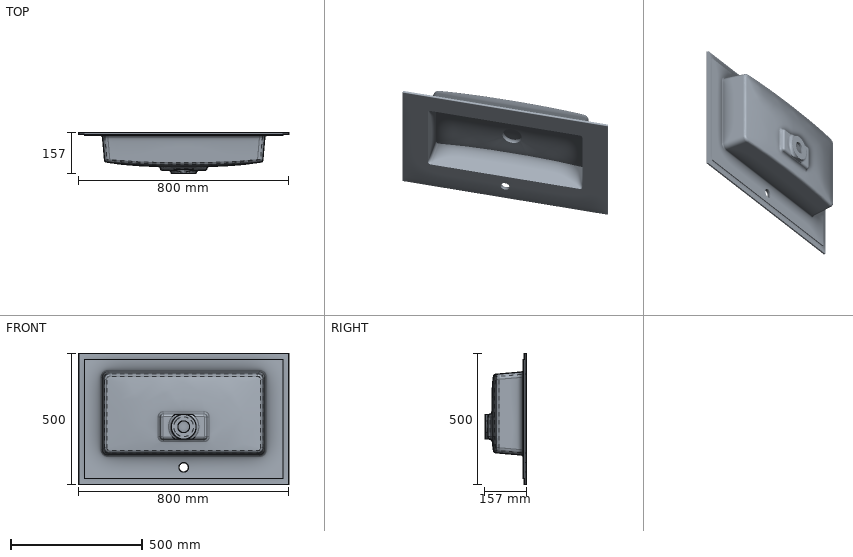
import cadquery as cq
import math


plate_width = 800.0
plate_height = 500.0
plate_thickness = 8.0
plate_edge_radius = 2.0
step_width = 755.0
step_height = 451.0
step_thickness = 5.0
rim_depth = plate_thickness + step_thickness

bowl_width = 619.0
bowl_height = 318.0
bowl_z = 21.0
bowl_draft = 5.0
bowl_corner_radius = 21.0
bowl_floor_radius = 10.0
bowl_root_radius = 5.0
wall = 10.0

floor_side_depth = 110.0
long_side_sag = 11.0
crown_sag = 10.0
dome_depth = floor_side_depth + long_side_sag + crown_sag
dome_grid = 12
dome_overhang = 1.1

drain_z = -30.0
housing_width = 178.0
housing_height = 98.0
housing_depth = 145.0
housing_corner_radius = 11.0
housing_face_radius = 10.0
housing_root_radius = 9.0

total_depth = 157.0
flange_diameter = 94.0
flange_flare_radius = 10.0
drain_hole_diameter = 45.0

tap_hole_diameter = 35.0
tap_hole_z = -184.0

cover_diameter = flange_diameter - 2 * wall
cover_thickness = 10.0
cover_back_depth = total_depth - wall

pick_margin = 1.0


def layer(depth, z=0.0):
    """Sketch plane at a depth, looking along -Y, centred at height z."""
    return cq.Workplane("XZ", origin=(0, -depth, z))


def joint_edges(width, height, z, start_depth, end_depth):
    """Selector for the edges around the foot of a raised block of the given outline."""
    half_width = width / 2 + pick_margin
    half_height = height / 2 + pick_margin
    return cq.selectors.BoxSelector(
        (-half_width, -end_depth - pick_margin, z - half_height),
        (half_width, -start_depth + pick_margin, z + half_height),
        boundingbox=True,
    )


def domed_floor(inset):
    """Bowl floor surface, moved inwards by inset."""
    half_width = bowl_width / 2
    half_height = bowl_height / 2
    steps = [dome_overhang * i / dome_grid for i in range(-dome_grid, dome_grid + 1)]

    def point(u, w):
        sag = long_side_sag * (1 - u**2) + crown_sag * (1 - u**4) * (1 - w**4)
        depth = floor_side_depth - inset + sag
        return cq.Vector(u * half_width, -depth, bowl_z + w * half_height)

    return cq.Face.makeSplineApprox([[point(u, w) for w in steps] for u in steps], tol=0.001)


def bowl_block(start_depth, inset):
    """Drafted block with a domed end; an inset of one wall thickness gives the hollow."""
    widening = 2 * (rim_depth - start_depth) * math.tan(math.radians(bowl_draft)) - 2 * inset
    block = (
        layer(start_depth, bowl_z)
        .rect(bowl_width + widening, bowl_height + widening)
        .extrude(total_depth - start_depth, taper=bowl_draft)
        .edges("not(#Y)")
        .fillet(bowl_corner_radius - inset)
    )
    beyond_floor = cq.Solid.extrudeLinear(domed_floor(inset), cq.Vector(0, -total_depth, 0))
    return block.cut(cq.Workplane(beyond_floor))


def rim():
    """Rim plate with a softened front edge and corners, and the step on its back."""
    plate = (
        layer(0)
        .rect(plate_width, plate_height)
        .extrude(plate_thickness)
        .edges("|Y")
        .fillet(plate_edge_radius)
        .faces(">Y")
        .edges()
        .fillet(plate_edge_radius)
    )
    step = layer(plate_thickness).rect(step_width, step_height).extrude(step_thickness)
    return plate.union(step)


def rim_with_bowl():
    """Rim and solid bowl, with the joint between them filleted."""
    bowl = bowl_block(rim_depth, 0).faces("<Y").edges().fillet(bowl_floor_radius)
    joint = joint_edges(bowl_width, bowl_height, bowl_z, rim_depth, rim_depth)
    return rim().union(bowl).edges(joint).fillet(bowl_root_radius)


def add_housing(body):
    """Drain housing with a rounded end, blended into the bowl floor."""
    housing = (
        layer(rim_depth, drain_z)
        .rect(housing_width, housing_height)
        .extrude(housing_depth - rim_depth)
        .edges("|Y")
        .fillet(housing_corner_radius)
        .faces("<Y")
        .edges()
        .fillet(housing_face_radius)
    )
    root = joint_edges(housing_width, housing_height, drain_z, floor_side_depth, dome_depth)
    joined = body.union(housing)
    return joined.edges(root).fillet(housing_root_radius)


def flange():
    """Drain flange whose foot flares out onto the housing, trimmed to the housing's height."""
    radius = flange_diameter / 2
    foot_radius = radius + flange_flare_radius
    flare_start = housing_depth + flange_flare_radius
    midway_rise = flange_flare_radius * (1 - math.sqrt(0.5))
    body = (
        cq.Workplane("XY")
        .moveTo(0, -rim_depth)
        .lineTo(foot_radius, -rim_depth)
        .lineTo(foot_radius, -housing_depth)
        .threePointArc((radius + midway_rise, -housing_depth - midway_rise), (radius, -flare_start))
        .lineTo(radius, -total_depth)
        .lineTo(0, -total_depth)
        .close()
        .revolve(360, (0, 0, 0), (0, 1, 0))
        .translate((0, 0, drain_z))
    )
    trim = layer(rim_depth, drain_z).rect(2 * foot_radius, flange_diameter).extrude(total_depth)
    return body.intersect(trim)


def cover_disc():
    """Drain cover, a disc lying on the bottom of its pocket."""
    return (
        layer(cover_back_depth - cover_thickness, drain_z)
        .circle(cover_diameter / 2)
        .extrude(cover_thickness)
    )


def basin_shell():
    """Basin shell with tap hole, drain hole and the hollow for bowl and drain cover."""
    body = add_housing(rim_with_bowl()).union(flange())
    cover_pocket = layer(0, drain_z).circle(cover_diameter / 2).extrude(cover_back_depth)
    drain_hole = layer(0, drain_z).circle(drain_hole_diameter / 2).extrude(total_depth)
    tap_hole = layer(0, tap_hole_z).circle(tap_hole_diameter / 2).extrude(rim_depth)
    shell = body.cut(bowl_block(0, wall)).cut(cover_pocket).cut(drain_hole).cut(tap_hole)
    return shell.solids()


basin = basin_shell()
drain_cover = cover_disc()
result = cq.Compound.makeCompound([basin.val(), drain_cover.val()])